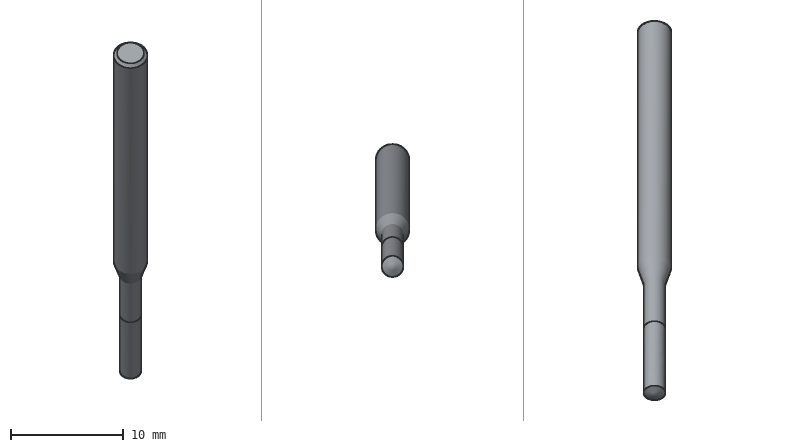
import cadquery as cq
import math

total_length = 44.0
cutting_length = 8.1
neck_top = 13.4
cone_height = 2.0
cone_top = neck_top + cone_height

shank_diameter = 3.0
neck_diameter = 1.92
point_diameter = 1.93

chamfer = 0.3
point_angle = 140.0

shank_radius = shank_diameter / 2
neck_radius = neck_diameter / 2
point_radius = point_diameter / 2
point_height = point_radius / math.tan(math.radians(point_angle / 2))


def turn(profile):
    """Turn a half profile of (radius, Z) points into a round solid about the Z axis."""
    return cq.Workplane("XZ").polyline(profile).close().revolve(360, (0, 0, 0), (0, 1, 0))


def make_shank():
    """Chamfered shank that tapers down to a plain neck."""
    profile = [
        (0, cutting_length),
        (neck_radius, cutting_length),
        (neck_radius, neck_top),
        (shank_radius, cone_top),
        (shank_radius, total_length - chamfer),
        (shank_radius - chamfer, total_length),
        (0, total_length),
    ]
    return turn(profile)


def make_cutting_section():
    """Slightly back-tapered cutting section with a conical point."""
    profile = [
        (0, 0),
        (point_radius, point_height),
        (neck_radius, cutting_length),
        (0, cutting_length),
    ]
    return turn(profile)


shank = make_shank()
cutting_section = make_cutting_section()

result = cq.Compound.makeCompound([shank.val(), cutting_section.val()])